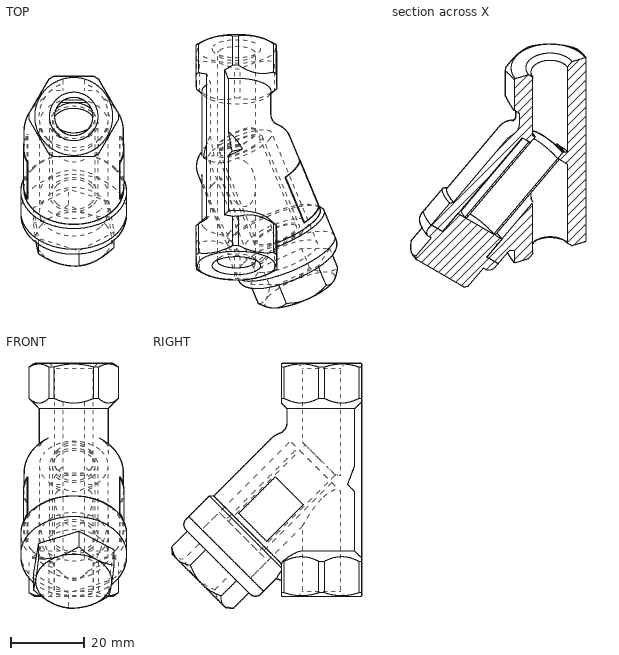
import cadquery as cq
import math

RUN_LENGTH = 63.95
PIPE_RADIUS = 9.5
PORT_RADIUS = 5.25
PORT_CHAMFER = 1.4

END_FLATS = 22.05
END_CORNER_RADIUS = 12.3
END_HEIGHT = 12.5
END_FACE_RADIUS = 10.7
END_FACE_CHAMFER = 1.1

WEB_THICKNESS = 5.8
DENT_DEPTH = 2.35
DENT_RISE = 6.25

BRANCH_ANGLE = 45
BRANCH_Z = 5.85
BRANCH_RADIUS = 13.65
BRANCH_START = 0.7
BRANCH_ROUND = 5.0
BRANCH_BLEND = 3.0
COLLAR_RADIUS = 14.5
COLLAR_START = 28.15
COLLAR_CHAMFER = 0.8
COLLAR_END = 36.95

PAD_START = 12.5
PAD_LENGTH = 14.2
PAD_WIDTH = 10.8
PAD_RAISE = 0.2

PARTITION_TOP = 0.55
PARTITION_BOTTOM = 2.7
PASSAGE_RADIUS = 5.85
LEDGE_START = 3.8
LEDGE_LEVEL_START = 4.5
LEDGE_RAISE = 0.7
CAVITY_RADIUS = 9.4
SCREEN_WALL = 0.8

PLUG_LENGTH = 6.7
FLANGE_END = 40.1
FLANGE_ROUND = 2.1
CAP_FLATS = 20.8
CAP_END = 47.5
CAP_FACE_CHAMFER = 1.4
CAP_TURN = 6.7

HEX_HALF_STEP = 30
HALF_RUN = RUN_LENGTH / 2
PLUG_START = COLLAR_END - PLUG_LENGTH
TILT = math.radians(BRANCH_ANGLE)
AXIS = cq.Vector(0, -math.sin(TILT), -math.cos(TILT))
BRANCH = cq.Plane(origin=(0, 0, BRANCH_Z), xDir=(1, 0, 0), normal=AXIS.toTuple())


INNER_FACE = cq.selectors.DirectionMinMaxSelector(AXIS, False)
OUTER_FACE = cq.selectors.DirectionMinMaxSelector(AXIS, True)


def branch_cylinder(radius, start, end):
    """Round bar along the branch axis between two distances from the pipe axis."""
    return cq.Workplane(BRANCH).workplane(offset=start).circle(radius).extrude(end - start)


def revolved(profile):
    """Turn a closed (radius, height) profile about the local height axis."""
    return cq.Workplane("XZ").polyline(profile).close().revolve(360, (0, 0, 0), (0, 1, 0))


def hexagon(flats, height):
    """Upright hexagonal bar with corners on the X axis."""
    return cq.Workplane("XY").polygon(6, flats / math.cos(math.radians(HEX_HALF_STEP))).extrude(height)


def pipe_end():
    """Hexagonal end with its outer face on the XY plane and its body above it."""
    envelope = revolved([
        (0, 0),
        (END_FACE_RADIUS, 0),
        (END_CORNER_RADIUS, END_FACE_CHAMFER),
        (END_CORNER_RADIUS, END_HEIGHT - (END_CORNER_RADIUS - PIPE_RADIUS)),
        (PIPE_RADIUS, END_HEIGHT),
        (0, END_HEIGHT),
    ])
    return hexagon(END_FLATS, END_HEIGHT).intersect(envelope)


def at_both_ends(end):
    """Copy an end feature, built upward from its outer face, to the bottom and top of the run."""
    bottom = end.translate((0, 0, -HALF_RUN))
    return bottom.union(bottom.mirror("XY"))


def pipe_and_branch():
    """Pipe and rounded branch, with a blend where they meet."""
    pipe = cq.Workplane("XY").workplane(offset=-HALF_RUN).circle(PIPE_RADIUS).extrude(RUN_LENGTH)
    branch = branch_cylinder(BRANCH_RADIUS, BRANCH_START, COLLAR_END)
    branch = branch.faces(INNER_FACE).edges().fillet(BRANCH_ROUND)
    joined = pipe.union(branch)
    seams = [edge for edge in joined.edges().vals() if edge.geomType() == "BSPLINE"]
    return cq.Workplane(joined.val().fillet(BRANCH_BLEND, seams))


def collar():
    """Wider open end of the branch, bevelled on its inner side."""
    ring = branch_cylinder(COLLAR_RADIUS, COLLAR_START, COLLAR_END)
    return ring.faces(INNER_FACE).chamfer(COLLAR_CHAMFER)


def dent():
    """V-shaped cut across the back of the pipe; its lower side lies square to the branch axis."""
    root = PIPE_RADIUS - DENT_DEPTH
    root_z = BRANCH_Z - root
    profile = [
        (root, root_z),
        (root + 2 * DENT_DEPTH, root_z - 2 * DENT_DEPTH),
        (root + 2 * DENT_DEPTH, root_z + 2 * DENT_RISE),
    ]
    return cq.Workplane("YZ").polyline(profile).close().extrude(PIPE_RADIUS, both=True)


def web():
    """Flat web along the back of the pipe, flush with the flats of both ends."""
    return cq.Workplane("XY").box(
        WEB_THICKNESS, END_FLATS / 2, RUN_LENGTH - END_HEIGHT, centered=(True, False, True)
    )


def label_pads():
    """Thin raised rectangular patches that follow the round of the branch on both sides."""
    shell = branch_cylinder(BRANCH_RADIUS + PAD_RAISE, PAD_START, PAD_START + PAD_LENGTH)
    outline = cq.Workplane(BRANCH).workplane(offset=PAD_START).rect(2 * COLLAR_RADIUS, PAD_WIDTH)
    return shell.intersect(outline.extrude(PAD_LENGTH))


def port_ledge():
    """Small straight step on the partition at the back of the upper port, with a level top."""
    foot_z = BRANCH_Z - PARTITION_TOP / math.cos(TILT) - LEDGE_START
    top_z = foot_z + LEDGE_RAISE
    slope_width = LEDGE_LEVEL_START - LEDGE_START
    profile = [
        (LEDGE_START, foot_z - LEDGE_RAISE),
        (LEDGE_START, top_z),
        (LEDGE_LEVEL_START, top_z - slope_width),
        (PIPE_RADIUS, top_z - slope_width),
        (PIPE_RADIUS, foot_z - PIPE_RADIUS),
    ]
    return cq.Workplane("YZ").polyline(profile).close().extrude(PIPE_RADIUS, both=True)


def flow_passages():
    """Ports of both ends, stopped by the partition, and the cavity beyond the partition."""
    port = revolved([
        (0, 0),
        (PORT_RADIUS + PORT_CHAMFER, 0),
        (PORT_RADIUS, PORT_CHAMFER),
        (PORT_RADIUS, HALF_RUN),
        (0, HALF_RUN),
    ])
    ports = at_both_ends(port)
    partition = branch_cylinder(RUN_LENGTH, PARTITION_TOP, PARTITION_BOTTOM)
    passage = branch_cylinder(PASSAGE_RADIUS, PARTITION_TOP, PARTITION_BOTTOM)
    cavity = branch_cylinder(CAVITY_RADIUS, PARTITION_BOTTOM, COLLAR_END)
    return ports.cut(partition).cut(port_ledge()).union(passage).union(cavity)


def make_housing():
    """Pipe run with hexagonal ends and the collared branch, hollowed by its flow passages."""
    body = pipe_and_branch().cut(dent())
    body = body.union(web()).union(at_both_ends(pipe_end())).union(collar()).union(label_pads())
    return body.cut(flow_passages())


def make_screen():
    """Plain tube held between the partition and the plug of the cap."""
    tube = branch_cylinder(PASSAGE_RADIUS + SCREEN_WALL, PARTITION_BOTTOM, PLUG_START)
    return tube.cut(branch_cylinder(PASSAGE_RADIUS, PARTITION_BOTTOM, PLUG_START))


def make_cap():
    """Plug inside the branch, rounded flange on the collar and hexagonal head."""
    plug = branch_cylinder(CAVITY_RADIUS, PLUG_START, COLLAR_END)
    flange = branch_cylinder(COLLAR_RADIUS, COLLAR_END, FLANGE_END)
    flange = flange.faces(OUTER_FACE).edges().fillet(FLANGE_ROUND)
    return plug.union(flange).union(cap_head())


def cap_head():
    """Hexagonal head with a corner chamfer, turned slightly about the branch axis."""
    height = CAP_END - FLANGE_END
    face_radius = CAP_FLATS / 2
    corner_radius = face_radius / math.cos(math.radians(HEX_HALF_STEP))
    envelope = revolved([
        (0, 0),
        (corner_radius, 0),
        (corner_radius, height - CAP_FACE_CHAMFER),
        (face_radius, height),
        (0, height),
    ])
    turn = HEX_HALF_STEP - CAP_TURN
    head = hexagon(CAP_FLATS, height).intersect(envelope)
    head = head.rotate((0, 0, 0), (0, 0, 1), turn).translate((0, 0, FLANGE_END))
    return cq.Workplane(head.val().moved(cq.Location(BRANCH)))


housing = make_housing()
screen = make_screen()
cap = make_cap()

result = cq.Compound.makeCompound([housing.val(), screen.val(), cap.val()])